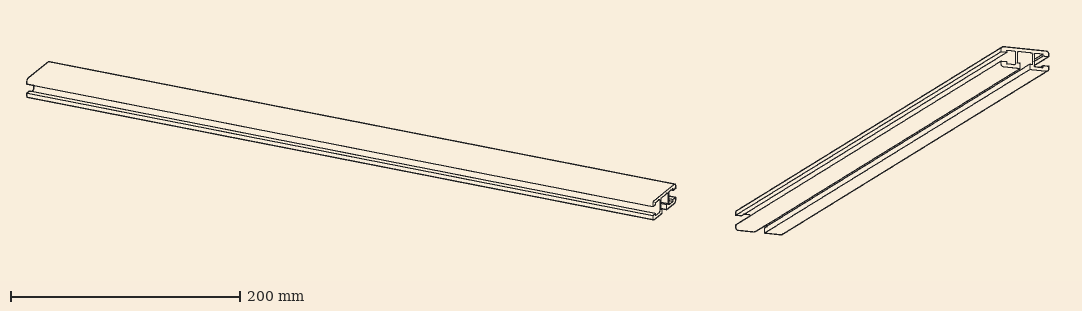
import cadquery as cq

LENGTH = 609.5
WIDTH = 45.0
HEIGHT = 18.0

FLANGE_THICKNESS = 3.0
LIP_HEIGHT = 5.0
LIP_WIDTH = 5.5
CORNER_RADIUS = 2.5

CHANNEL_WIDTH = 14.0
WEB_THICKNESS = 2.0
SLOT_WIDTH = 9.0

ROOT_RADIUS = 1.0


def box(width, height, y_center, z_bottom):
    """Full-length bar of rectangular section."""
    return (
        cq.Workplane("XY")
        .box(LENGTH, width, height, centered=(True, True, False))
        .translate((0, y_center, z_bottom))
    )


result = box(WIDTH, HEIGHT, 0, 0).edges("|X").fillet(CORNER_RADIUS)

web_outer = CHANNEL_WIDTH / 2 + WEB_THICKNESS
lip_inner = WIDTH / 2 - LIP_WIDTH
side_depth = lip_inner - web_outer
side_height = HEIGHT - 2 * FLANGE_THICKNESS
side_center = (lip_inner + web_outer) / 2
mouth_height = HEIGHT - 2 * LIP_HEIGHT
mouth_center = WIDTH / 2 - LIP_WIDTH / 2

for side, root_face in ((-1, ">Y"), (1, "<Y")):
    side_channel = (
        box(side_depth, side_height, side * side_center, FLANGE_THICKNESS)
        .faces(root_face)
        .edges("|X")
        .fillet(ROOT_RADIUS)
    )
    side_mouth = box(LIP_WIDTH, mouth_height, side * mouth_center, LIP_HEIGHT)
    result = result.cut(side_channel).cut(side_mouth)

channel_height = HEIGHT - FLANGE_THICKNESS - LIP_HEIGHT
central_channel = (
    box(CHANNEL_WIDTH, channel_height, 0, LIP_HEIGHT)
    .faces(">Z")
    .edges("|X")
    .fillet(ROOT_RADIUS)
)
slot = box(SLOT_WIDTH, LIP_HEIGHT, 0, 0)
result = result.cut(central_channel).cut(slot)